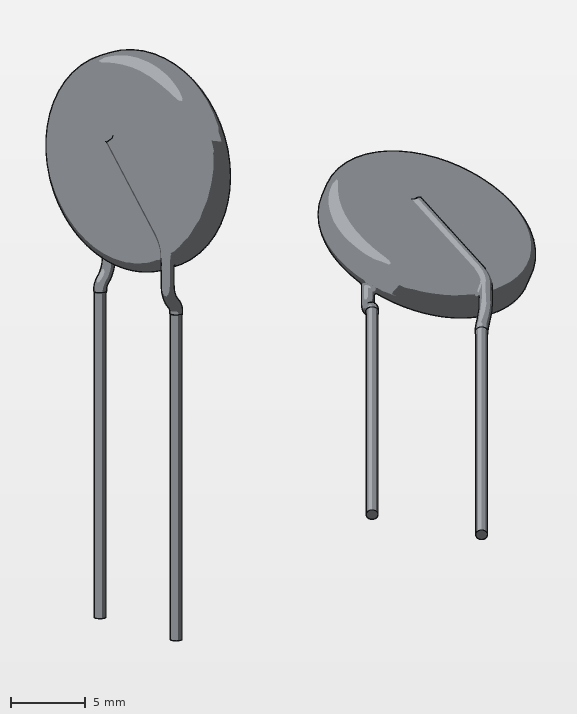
import cadquery as cq
import math

disc_diameter = 15.0
disc_thickness = 3.0
disc_edge_radius = 1.05

overall_height = 40.0
overall_depth = 3.4
wire_diameter = 0.8
coat_diameter = 0.9
lead_pitch = 7.5

face_bend_angle = math.radians(37.5)
face_bend_radius = 2.8
face_bend_start_z = -5.85
lead_tip_z = 1.52
face_blend_radius = 0.18
crimp_angle = math.radians(47)
crimp_start_z = -7.72
upper_crimp_radius = 1.92
coat_tail = 0.12
coat_taper = 0.12

lead_x = lead_pitch / 2
upper_y = -(overall_depth - coat_diameter) / 2
lower_y = -wire_diameter / 2
bottom_z = disc_diameter / 2 - overall_height


def make_disc():
    rear_face = cq.Workplane("XZ", origin=(0, disc_thickness / 2, 0))
    disc = rear_face.circle(disc_diameter / 2).extrude(disc_thickness)
    return disc.edges("%CIRCLE").fillet(disc_edge_radius)


def make_face_run():
    """Coated run that lies partly sunk in the disc face: diagonal, bend, straight."""
    sin_a, cos_a = math.sin(face_bend_angle), math.cos(face_bend_angle)
    half_a = face_bend_angle / 2
    bend_mid = (
        lead_x - face_bend_radius * (1 - math.cos(half_a)),
        face_bend_start_z + face_bend_radius * math.sin(half_a),
    )
    bend_end = (
        lead_x - face_bend_radius * (1 - cos_a),
        face_bend_start_z + face_bend_radius * sin_a,
    )
    tip_x = bend_end[0] - (lead_tip_z - bend_end[1]) * math.tan(face_bend_angle)
    path = (
        cq.Workplane("XZ", origin=(0, upper_y, 0))
        .moveTo(lead_x, crimp_start_z)
        .lineTo(lead_x, face_bend_start_z)
        .threePointArc(bend_mid, bend_end)
        .lineTo(tip_x, lead_tip_z)
    )
    section = cq.Workplane("XY", origin=(lead_x, upper_y, crimp_start_z)).circle(coat_diameter / 2)
    return section.sweep(path)


def make_crimp_and_wire():
    """Coated double bend towards the middle plane, then the straight bare wire."""
    sin_a, cos_a = math.sin(crimp_angle), math.cos(crimp_angle)
    half_a = crimp_angle / 2
    lower_crimp_radius = (lower_y - upper_y) / (1 - cos_a) - upper_crimp_radius
    crimp_mid_y = upper_y + upper_crimp_radius * (1 - cos_a)
    crimp_mid_z = crimp_start_z - upper_crimp_radius * sin_a
    crimp_end_z = crimp_mid_z - lower_crimp_radius * sin_a
    upper_arc_mid = (
        upper_y + upper_crimp_radius * (1 - math.cos(half_a)),
        crimp_start_z - upper_crimp_radius * math.sin(half_a),
    )
    lower_arc_mid = (
        lower_y - lower_crimp_radius * (1 - math.cos(half_a)),
        crimp_end_z + lower_crimp_radius * math.sin(half_a),
    )
    path = (
        cq.Workplane("YZ", origin=(lead_x, 0, 0))
        .moveTo(upper_y, crimp_start_z)
        .threePointArc(upper_arc_mid, (crimp_mid_y, crimp_mid_z))
        .threePointArc(lower_arc_mid, (lower_y, crimp_end_z))
        .lineTo(lower_y, crimp_end_z - coat_tail)
    )
    section = cq.Workplane("XY", origin=(lead_x, upper_y, crimp_start_z)).circle(coat_diameter / 2)
    crimp = section.sweep(path)
    wire = (
        cq.Workplane("XY", origin=(lead_x, lower_y, bottom_z))
        .circle(wire_diameter / 2)
        .extrude(crimp_end_z - bottom_z)
    )
    taper = (
        cq.Workplane("XY", origin=(lead_x, lower_y, crimp_end_z - coat_tail))
        .circle(coat_diameter / 2)
        .workplane(offset=-coat_taper)
        .circle(wire_diameter / 2)
        .loft()
    )
    return crimp.union(wire).union(taper)


def blend_lead_into_face(body):
    """Round the line where the front lead rises out of the flat face of the disc."""
    margin = 0.005
    face_y = -disc_thickness / 2
    flat_radius = disc_diameter / 2 - disc_edge_radius - margin
    face_slab = cq.selectors.BoxSelector(
        (-disc_diameter, face_y - margin, -disc_diameter),
        (disc_diameter, face_y + margin, disc_diameter),
        boundingbox=True,
    )
    blended = [
        edge
        for edge in body.edges(face_slab).vals()
        if edge.geomType() == "LINE" or edge.radius() < flat_radius
    ]
    return body.newObject(blended).fillet(face_blend_radius)


result = make_disc()
for lead in range(2):
    result = blend_lead_into_face(result.union(make_face_run()))
    result = result.union(make_crimp_and_wire())
    result = result.rotate((0, 0, 0), (0, 0, 1), 180)